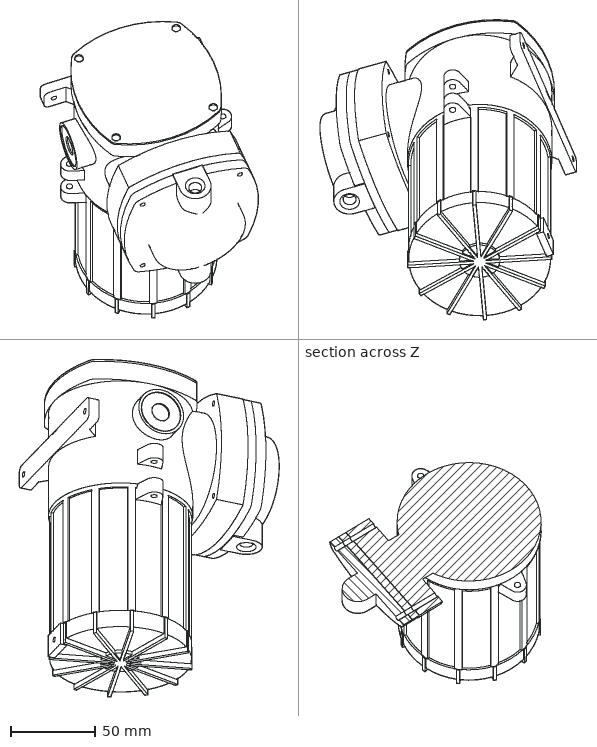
import cadquery as cq
import math

COVER_BASE_Z = 3.0
COVER_TOP_Z = 14.0
POCKET_TOP_Z = 96.5
BARREL_TOP_Z = 98.9
HEAD_Z = 167.2
LID_Z = 179.0
LID_TOP_Z = 180.3
NECK_Z = 138.7

HOUSING_R = 42.9
HEAD_CORNER = 34.2
CORNER_FILLET = 5.5
SCREW_OFFSET = 30.9
LID_SCREW_R = 2.5
LID_SCREW_DEPTH = 7.3

BOSS_X = 3.6
BOSS_Z = 145.5
BOSS_R = 14.5
BOSS_END_Y = -50.9
BOSS_RECESS_R = 12.7
BOSS_RECESS_DEPTH = 0.7
BOSS_HOLE_R = 5.6
BOSS_HOLE_DEPTH = 0.9

BRACKET_BACK_X = -43.3
BRACKET_THICKNESS = 6.5
BRACKET_LENGTH = 101.8
BRACKET_HEIGHT = 14.7
BRACKET_Z = 138.9
BRACKET_CORNER_R = 3.5
BRACKET_HOLE_Y = 44.5
BRACKET_HOLE_R = 1.6
WEB_HALF_WIDTH = 37.0

LUG_CENTRE_Y = 48.7
LUG_TIP_R = 5.3
LUG_HOLE_R = 1.8
LUG_ROOT_Y = 36.4
LUG_ROOT_HALF_WIDTH = 9.8
LUG_HEIGHT = 9.6
HOUSING_LUG_Z = 112.1

BARREL_R = 42.3
POCKET_DEPTH = 1.5
RIB_COUNT = 12
RIB_PITCH = 360 / RIB_COUNT
FIRST_RIB = RIB_PITCH / 2
RIB_WIDTH = 4.5
COVER_R = 42.2
FIN_TIP_R = 42.9
FIN_WIDTH = 2.0
HUB_R = 12.0
HUB_BASE_Z = 1.0
TAB_WIDTH = 17.8
TAB_THICKNESS = 4.4
TAB_HOLE_R = 1.5
TAB_HOLE_DEPTH = 1.8
TAB_HOLE_Z = 7.0

NECK_R = 35.5
FLANGE_X = 46.5
RING_X = 63.8
CAP_X = 69.0
CAP_FACE_X = 75.5
CAP_END_X = 91.2
FLANGE_HALF = 42.7
FLANGE_CORNER = NECK_R
FLANGE_SCREW_R = 1.5
BELL_R = 29.3
BELL_FILLET = 3.0

PORT_R = 9.5
PORT_TOP = 43.0
PORT_ROOT = 21.8
PORT_MOUTH_R = 5.8
PORT_HOLE_R = 3.8
PORT_CHAMFER_DEPTH = PORT_MOUTH_R - PORT_HOLE_R
PORT_HOLE_DEPTH = 9.0
PORT_TIP_DEPTH = 11.3


def bulged_square(plane, half, corner):
    """Square with four outward bowed sides, drawn on the given workplane."""
    return (
        plane.moveTo(-corner, -corner)
        .threePointArc((0, -half), (corner, -corner))
        .threePointArc((half, 0), (corner, corner))
        .threePointArc((0, half), (-corner, corner))
        .threePointArc((-half, 0), (-corner, -corner))
        .close()
    )


def square_points(offset):
    return [(sx * offset, sy * offset) for sx in (-1, 1) for sy in (-1, 1)]


def disc(radius, z_low, z_high):
    return cq.Workplane("XY").workplane(offset=z_low).circle(radius).extrude(z_high - z_low)


def neck_plane(x):
    """Workplane facing +X, centred on the neck axis; local axes are Y and Z."""
    return cq.Workplane("YZ", origin=(x, 0, NECK_Z))


def flange_plate(x_low, x_high):
    return bulged_square(neck_plane(x_low), FLANGE_HALF, FLANGE_CORNER).extrude(x_high - x_low)


def flange_screw_holes():
    return (
        neck_plane(FLANGE_X)
        .pushPoints(square_points(SCREW_OFFSET))
        .circle(FLANGE_SCREW_R)
        .extrude(CAP_FACE_X - FLANGE_X)
    )


def head_plate(z_low, z_high):
    plane = cq.Workplane("XY").workplane(offset=z_low)
    plate = bulged_square(plane, HOUSING_R, HEAD_CORNER).extrude(z_high - z_low)
    return plate.edges("|Z").fillet(CORNER_FILLET)


def lid_screw_holes():
    return (
        cq.Workplane("XY")
        .workplane(offset=LID_TOP_Z - LID_SCREW_DEPTH)
        .pushPoints(square_points(SCREW_OFFSET))
        .circle(LID_SCREW_R)
        .extrude(LID_SCREW_DEPTH)
    )


def lug_pair(z_low):
    """Two tapered bolt lugs, at +Y and -Y, whose sides run tangent into a round tip."""
    root_drop = LUG_CENTRE_Y - LUG_ROOT_Y
    root_distance = math.hypot(root_drop, LUG_ROOT_HALF_WIDTH)
    tangent_angle = math.acos(LUG_TIP_R / root_distance) - math.atan2(root_drop, LUG_ROOT_HALF_WIDTH)
    tangent_x = LUG_TIP_R * math.cos(tangent_angle)
    tangent_y = LUG_CENTRE_Y + LUG_TIP_R * math.sin(tangent_angle)
    lug = (
        cq.Workplane("XY")
        .workplane(offset=z_low)
        .moveTo(-LUG_ROOT_HALF_WIDTH, LUG_ROOT_Y)
        .lineTo(LUG_ROOT_HALF_WIDTH, LUG_ROOT_Y)
        .lineTo(tangent_x, tangent_y)
        .threePointArc((0, LUG_CENTRE_Y + LUG_TIP_R), (-tangent_x, tangent_y))
        .close()
        .extrude(LUG_HEIGHT)
    )
    hole = (
        cq.Workplane("XY")
        .workplane(offset=z_low)
        .center(0, LUG_CENTRE_Y)
        .circle(LUG_HOLE_R)
        .extrude(LUG_HEIGHT)
    )
    lug = lug.cut(hole)
    return lug.union(lug.mirror("XZ"))


def make_bracket():
    front_x = BRACKET_BACK_X + BRACKET_THICKNESS
    plate = (
        cq.Workplane("YZ", origin=(BRACKET_BACK_X, 0, BRACKET_Z))
        .rect(BRACKET_LENGTH, BRACKET_HEIGHT)
        .extrude(BRACKET_THICKNESS)
        .edges("|X")
        .fillet(BRACKET_CORNER_R)
    )
    holes = (
        cq.Workplane("YZ", origin=(BRACKET_BACK_X, 0, BRACKET_Z))
        .pushPoints([(-BRACKET_HOLE_Y, 0), (BRACKET_HOLE_Y, 0)])
        .circle(BRACKET_HOLE_R)
        .extrude(BRACKET_THICKNESS)
    )
    web = (
        cq.Workplane("XY", origin=(0, 0, BRACKET_Z - BRACKET_HEIGHT / 2))
        .polyline([
            (front_x, -WEB_HALF_WIDTH),
            (front_x, WEB_HALF_WIDTH),
            (front_x + WEB_HALF_WIDTH, 0),
        ])
        .close()
        .extrude(BRACKET_HEIGHT)
    )
    return plate.cut(holes).union(web)


def boss_cylinder(radius, y_end, length):
    """Cylinder on the boss axis, from y_end inwards along +Y."""
    return cq.Workplane("XZ", origin=(BOSS_X, y_end, BOSS_Z)).circle(radius).extrude(-length)


def make_housing():
    recess_y = BOSS_END_Y + BOSS_RECESS_DEPTH
    housing = disc(HOUSING_R, BARREL_TOP_Z, HEAD_Z)
    housing = housing.union(head_plate(HEAD_Z, LID_Z))
    housing = housing.union(neck_plane(0).circle(NECK_R).extrude(FLANGE_X))
    housing = housing.union(flange_plate(FLANGE_X, RING_X))
    housing = housing.union(make_bracket())
    housing = housing.union(lug_pair(HOUSING_LUG_Z))
    housing = housing.union(boss_cylinder(BOSS_R, BOSS_END_Y, -BOSS_END_Y))
    housing = housing.cut(boss_cylinder(BOSS_RECESS_R, BOSS_END_Y, BOSS_RECESS_DEPTH))
    housing = housing.cut(boss_cylinder(BOSS_HOLE_R, recess_y, BOSS_HOLE_DEPTH))
    return housing.cut(lid_screw_holes()).cut(flange_screw_holes())


def make_lid():
    return head_plate(LID_Z, LID_TOP_Z).cut(lid_screw_holes())


def radial_bars(width, length, z_low, z_high):
    """Bars from the axis outwards, one at every rib angle."""
    bars = cq.Workplane("XY")
    for index in range(RIB_COUNT):
        bar = (
            cq.Workplane("XY")
            .box(length, width, z_high - z_low, centered=(False, True, False))
            .translate((0, 0, z_low))
            .rotate((0, 0, 0), (0, 0, 1), FIRST_RIB + index * RIB_PITCH)
        )
        bars = bars.union(bar)
    return bars


def make_barrel():
    barrel = (
        cq.Workplane("XZ")
        .moveTo(0, COVER_TOP_Z)
        .lineTo(BARREL_R, COVER_TOP_Z)
        .lineTo(BARREL_R, POCKET_TOP_Z)
        .lineTo(HOUSING_R, BARREL_TOP_Z)
        .lineTo(0, BARREL_TOP_Z)
        .close()
        .revolve(360, (0, 0, 0), (0, 1, 0))
    )
    pocket_floor = disc(BARREL_R - POCKET_DEPTH, COVER_TOP_Z, POCKET_TOP_Z)
    pockets = disc(BARREL_R, COVER_TOP_Z, POCKET_TOP_Z).cut(pocket_floor)
    pockets = pockets.cut(radial_bars(RIB_WIDTH, HOUSING_R, COVER_TOP_Z, POCKET_TOP_Z))
    return barrel.cut(pockets).union(lug_pair(BARREL_TOP_Z - LUG_HEIGHT))


def make_fan_cover():
    fins = radial_bars(FIN_WIDTH, FIN_TIP_R, 0, COVER_TOP_Z)
    tab = (
        cq.Workplane("XY")
        .box(TAB_THICKNESS, TAB_WIDTH, COVER_TOP_Z, centered=(False, True, False))
        .translate((BRACKET_BACK_X, 0, 0))
    )
    tab_hole = (
        cq.Workplane("YZ", origin=(BRACKET_BACK_X, 0, TAB_HOLE_Z))
        .circle(TAB_HOLE_R)
        .extrude(TAB_HOLE_DEPTH)
    )
    cover = disc(COVER_R, COVER_BASE_Z, COVER_TOP_Z).union(disc(HUB_R, HUB_BASE_Z, COVER_TOP_Z))
    return cover.union(fins).union(tab).cut(tab_hole)


def make_spacer_ring():
    ring = flange_plate(RING_X, CAP_X).edges("|X").fillet(CORNER_FILLET)
    return ring.cut(flange_screw_holes())


def port_block():
    """Upper port block: flat at the flange, round at its outer end."""
    port_x = CAP_END_X - PORT_R
    return (
        cq.Workplane("XY", origin=(0, 0, NECK_Z + PORT_ROOT))
        .moveTo(CAP_X, -PORT_R)
        .lineTo(port_x, -PORT_R)
        .threePointArc((CAP_END_X, 0), (port_x, PORT_R))
        .lineTo(CAP_X, PORT_R)
        .close()
        .extrude(PORT_TOP - PORT_ROOT)
    )


def port_hole():
    """Upper port hole: chamfered mouth, straight bore and conical bottom."""
    profile = [
        (0, PORT_TOP),
        (PORT_MOUTH_R, PORT_TOP),
        (PORT_HOLE_R, PORT_TOP - PORT_CHAMFER_DEPTH),
        (PORT_HOLE_R, PORT_TOP - PORT_HOLE_DEPTH),
        (0, PORT_TOP - PORT_TIP_DEPTH),
    ]
    return (
        cq.Workplane("XZ", origin=(CAP_END_X - PORT_R, 0, NECK_Z))
        .polyline(profile)
        .close()
        .revolve(360, (0, 0, 0), (0, 1, 0))
    )


def mirrored_in_neck(shape):
    return shape.union(shape.mirror("XY", (0, 0, NECK_Z)))


def make_end_cap():
    cap = flange_plate(CAP_X, CAP_FACE_X).edges("|X").fillet(CORNER_FILLET)
    bell = neck_plane(CAP_FACE_X).circle(BELL_R).extrude(CAP_END_X - CAP_FACE_X)
    bell = bell.faces(">X").edges().fillet(BELL_FILLET)
    root_x = CAP_FACE_X + BELL_FILLET
    root_fillet = (
        cq.Workplane("XY", origin=(0, 0, NECK_Z))
        .moveTo(CAP_FACE_X, 0)
        .lineTo(CAP_FACE_X, BELL_R + BELL_FILLET)
        .radiusArc((root_x, BELL_R), -BELL_FILLET)
        .lineTo(root_x, 0)
        .close()
        .revolve(360, (0, 0, 0), (1, 0, 0))
    )
    cap = cap.union(bell).union(root_fillet)
    cap = cap.union(mirrored_in_neck(port_block())).cut(mirrored_in_neck(port_hole()))
    return cap.cut(flange_screw_holes())


housing = make_housing()
lid = make_lid()
barrel = make_barrel()
fan_cover = make_fan_cover()
spacer_ring = make_spacer_ring()
end_cap = make_end_cap()

result = cq.Compound.makeCompound([
    housing.val(),
    lid.val(),
    barrel.val(),
    fan_cover.val(),
    spacer_ring.val(),
    end_cap.val(),
])